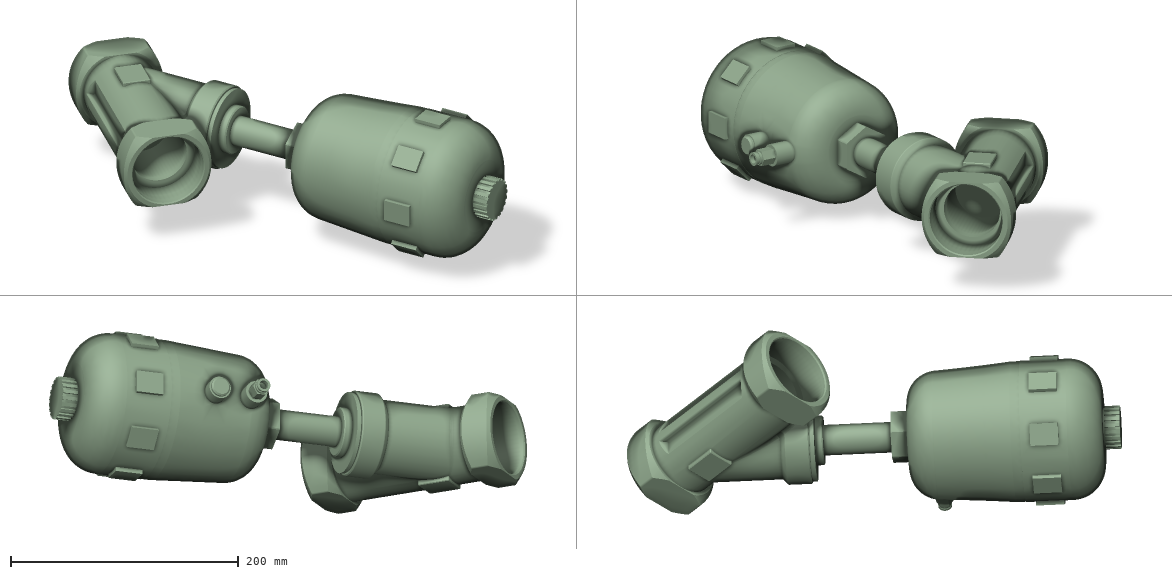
import cadquery as cq
import math

PIPE_LENGTH = 185.0
BARREL_D = 68.0
THREAD_D = 65.0
THREAD_CHAMFER = 1.0
BORE_D = 50.0
DIVIDER_THICKNESS = 13.5

NUT_LENGTH = 29.5
NUT_FLAT_HALF_HEIGHT = 34.5
NUT_FLAT_HALF_WIDTH = 28.0
NUT_SIDE_REACH = 40.0
NUT_EDGE_FILLET = 2.5
NUT_FACE_D = 75.0

PLATE_X = 67.5
PLATE_LENGTH = 30.3
PLATE_WIDTH = 25.0
PLATE_TOP = 36.0
PLATE_CHAMFER = 0.7

POCKET_FLOOR = 27.2
POCKET_MOUTH_LENGTH = 109.5
POCKET_FLOOR_LENGTH = 98.2
RIB_WIDTH = 11.5
RIB_FILLET = 2.0
POCKET_MID_X = PIPE_LENGTH / 2

AXIS_X = 51.8
AXIS_ORIGIN = cq.Vector(AXIS_X, 0, 0)
ALONG = cq.Vector(1, 1, 0).normalized()
ACROSS = cq.Vector(1, -1, 0).normalized()

FLANGE_CONE_START = 73.5
FLANGE_START = 78.5
FLANGE_TOP = 99.5
COVER_TOP = 104.0
COLLAR_TOP = 111.0
ACTUATOR_BOTTOM = 185.3
SHELL_TOP = 278.0
JOINT = 286.5
DOME_START = 327.8

NECK_D = 65.5
FLANGE_D = 75.5
FLANGE_CHAMFER = 1.0
BRANCH_FILLET = 3.5
FLANGE_FILLET = 1.5

COVER_D = 72.0
COVER_CHAMFER = 1.0
COLLAR_D = 43.7
COLLAR_CHAMFER = 1.0
STEM_D = 27.0
HEX_HEIGHT = 14.5
HEX_FLATS = 41.5
HEX_CORNER_CHAMFER = 0.7

ACTUATOR_D = 124.5
BOTTOM_FACE_D = 60.0
BOTTOM_FILLET = 27.0
SHELL_HALF_ANGLE = 4.5
DOME_FILLET = 29.5
JOINT_STEP = 0.5

GRIP_COUNT = 8
GRIP_START = 295.2
GRIP_LENGTH = 25.0
GRIP_WIDTH = 19.5
GRIP_REACH = 65.2

CAP_ROOT_D = 35.0
CAP_TOOTH_D = 38.0
CAP_TEETH = 20
CAP_TOOTH_WIDTH = 3.0
CAP_GAP = 1.5
CAP_HEIGHT = 13.5

PORT_D = 20.0
PORT_REACH = 73.5
PORT_ROOT = 33.5
FITTING_STATION = 211.5
PLUG_STATION = 245.5
PLUG_D = 17.0
PLUG_HEIGHT = 3.5
PLUG_CHAMFER = 1.5
FITTING_HEX_FLATS = 13.5
FITTING_HEX_HEIGHT = 12.8
FITTING_SLEEVE_D = 12.0
FITTING_SLEEVE_HEIGHT = 2.5
FITTING_GROOVE_D = 10.5
FITTING_GROOVE_WIDTH = 2.0
FITTING_RIM_HEIGHT = 2.0
FITTING_HOLE_D = 8.0


def hex_diameter(across_flats):
    """Diameter of the circle through the corners of a hexagon."""
    return across_flats / math.cos(math.pi / 6)


def axis_plane(station):
    """Plane square to the inclined axis; its local x lies in XY, its local y along -Z."""
    return cq.Workplane(cq.Plane(AXIS_ORIGIN + ALONG * station, ACROSS, ALONG))


def axis_disc(start, end, diameter):
    return axis_plane(start).circle(diameter / 2).extrude(end - start)


def axis_profile():
    """Half-section sketch: local x is the radius, local y the station on the inclined axis."""
    return cq.Workplane(cq.Plane(AXIS_ORIGIN, ACROSS, cq.Vector(0, 0, 1)))


def spin(profile):
    return profile.close().revolve(360, (0, 0), (0, 1))


def pipe_disc(start, length, diameter):
    return cq.Workplane("YZ", origin=(start, 0, 0)).circle(diameter / 2).extrude(length)


def end_nut(start):
    """Two-flat nut with bulged sides and both ends chamfered at 45 degrees."""
    width, height = NUT_FLAT_HALF_WIDTH, NUT_FLAT_HALF_HEIGHT
    block = (
        cq.Workplane("YZ", origin=(start, 0, 0))
        .moveTo(-width, height)
        .lineTo(width, height)
        .threePointArc((NUT_SIDE_REACH, 0), (width, -height))
        .lineTo(-width, -height)
        .threePointArc((-NUT_SIDE_REACH, 0), (-width, height))
        .close()
        .extrude(NUT_LENGTH)
        .edges("|X")
        .fillet(NUT_EDGE_FILLET)
    )
    half = NUT_LENGTH / 2
    face_radius = NUT_FACE_D / 2
    chamfers = (
        cq.Workplane("XY")
        .moveTo(start, 0)
        .lineTo(start, face_radius)
        .lineTo(start + half, face_radius + half)
        .lineTo(start + NUT_LENGTH, face_radius)
        .lineTo(start + NUT_LENGTH, 0)
        .close()
        .revolve(360, (0, 0), (1, 0))
    )
    return block.intersect(chamfers)


def pipe_bore():
    """Left half of the bore: chamfered thread hole, then a narrower blind hole."""
    thread_radius = THREAD_D / 2
    bore_end = (PIPE_LENGTH - DIVIDER_THICKNESS) / 2
    return (
        cq.Workplane("XY")
        .lineTo(0, thread_radius + THREAD_CHAMFER)
        .lineTo(THREAD_CHAMFER, thread_radius)
        .lineTo(NUT_LENGTH, thread_radius)
        .lineTo(NUT_LENGTH, BORE_D / 2)
        .lineTo(bore_end, BORE_D / 2)
        .lineTo(bore_end, 0)
        .close()
        .revolve(360, (0, 0), (1, 0))
    )


def branch():
    """Inclined neck and its flange."""
    neck_radius = NECK_D / 2
    flange_radius = FLANGE_D / 2
    solid = spin(
        axis_profile()
        .lineTo(neck_radius, 0)
        .lineTo(neck_radius, FLANGE_CONE_START)
        .lineTo(flange_radius, FLANGE_START)
        .lineTo(flange_radius, FLANGE_TOP - FLANGE_CHAMFER)
        .lineTo(flange_radius - FLANGE_CHAMFER, FLANGE_TOP)
        .lineTo(0, FLANGE_TOP)
    )
    widest_edges = solid.edges(cq.selectors.RadiusNthSelector(-1))
    return widest_edges.edges("<(1,1,0)").fillet(FLANGE_FILLET)


def rounded_branch(barrel):
    """Joins neck and flange to the barrel and rounds the inner corner all around."""
    return barrel.union(branch()).edges("%BSPLINE").fillet(BRANCH_FILLET)


def side_pocket():
    """Recess on the -Y side above the middle rib: sloped ends and a rounded rib flank."""
    mouth = BARREL_D / 2
    flank = RIB_WIDTH / 2
    end_view = (
        cq.Workplane("YZ")
        .moveTo(-mouth, flank - RIB_FILLET)
        .radiusArc((-mouth + RIB_FILLET, flank), RIB_FILLET)
        .lineTo(-POCKET_FLOOR - RIB_FILLET, flank)
        .radiusArc((-POCKET_FLOOR, flank + RIB_FILLET), -RIB_FILLET)
        .lineTo(-POCKET_FLOOR, mouth)
        .lineTo(-mouth, mouth)
        .close()
        .extrude(PIPE_LENGTH)
    )
    plan_view = (
        cq.Workplane("XY")
        .moveTo(POCKET_MID_X - POCKET_MOUTH_LENGTH / 2, -mouth)
        .lineTo(POCKET_MID_X + POCKET_MOUTH_LENGTH / 2, -mouth)
        .lineTo(POCKET_MID_X + POCKET_FLOOR_LENGTH / 2, -POCKET_FLOOR)
        .lineTo(POCKET_MID_X - POCKET_FLOOR_LENGTH / 2, -POCKET_FLOOR)
        .close()
        .extrude(mouth)
    )
    return end_view.intersect(plan_view)


def name_plates():
    """One raised plate on the +Z side and one on the -Z side."""
    return (
        cq.Workplane("XY")
        .box(PLATE_LENGTH, PLATE_WIDTH, 2 * PLATE_TOP)
        .edges("|Z")
        .chamfer(PLATE_CHAMFER)
        .faces("|Z")
        .chamfer(PLATE_CHAMFER)
        .translate((PLATE_X, 0, 0))
    )


def make_valve_body():
    middle = (PIPE_LENGTH / 2, 0, 0)
    barrel = pipe_disc(0, PIPE_LENGTH, BARREL_D)
    pocket = side_pocket()
    bore = pipe_bore()
    return (
        rounded_branch(barrel)
        .cut(pocket)
        .cut(pocket.mirror("XY"))
        .union(name_plates())
        .union(end_nut(0))
        .union(end_nut(PIPE_LENGTH - NUT_LENGTH))
        .cut(bore)
        .cut(bore.mirror("YZ", middle))
    )


def make_bonnet():
    cover = axis_disc(FLANGE_TOP, COVER_TOP, COVER_D).faces("<(1,1,0)").chamfer(COVER_CHAMFER)
    collar = axis_disc(COVER_TOP, COLLAR_TOP, COLLAR_D).faces(">(1,1,0)").chamfer(COLLAR_CHAMFER)
    stem = axis_disc(COLLAR_TOP, ACTUATOR_BOTTOM, STEM_D)
    hexagon = (
        axis_plane(ACTUATOR_BOTTOM - HEX_HEIGHT)
        .transformed(rotate=(0, 0, 90))
        .polygon(6, hex_diameter(HEX_FLATS))
        .extrude(HEX_HEIGHT)
        .edges("|(1,1,0)")
        .chamfer(HEX_CORNER_CHAMFER)
    )
    return cover.union(collar).union(stem).union(hexagon)


def actuator_shell():
    """Round-bottomed tapered shell and the domed hood above the joint."""
    slope = math.radians(SHELL_HALF_ANGLE)
    diagonal = (math.pi / 2 - slope) / 2
    centre_radius = BOTTOM_FACE_D / 2
    centre_station = ACTUATOR_BOTTOM + BOTTOM_FILLET
    tangent_radius = centre_radius + BOTTOM_FILLET * math.cos(slope)
    tangent_station = centre_station - BOTTOM_FILLET * math.sin(slope)
    hood_radius = ACTUATOR_D / 2
    shell_radius = hood_radius - JOINT_STEP
    dome_radius = hood_radius - DOME_FILLET
    bow = DOME_FILLET * math.sqrt(0.5)
    return spin(
        axis_profile()
        .moveTo(0, ACTUATOR_BOTTOM)
        .lineTo(centre_radius, ACTUATOR_BOTTOM)
        .threePointArc(
            (
                centre_radius + BOTTOM_FILLET * math.sin(diagonal),
                centre_station - BOTTOM_FILLET * math.cos(diagonal),
            ),
            (tangent_radius, tangent_station),
        )
        .lineTo(shell_radius, SHELL_TOP)
        .lineTo(shell_radius, JOINT)
        .lineTo(hood_radius, JOINT)
        .lineTo(hood_radius, DOME_START)
        .threePointArc(
            (dome_radius + bow, DOME_START + bow),
            (dome_radius, DOME_START + DOME_FILLET),
        )
        .lineTo(0, DOME_START + DOME_FILLET)
    )


def grip_pad(index):
    return (
        axis_plane(GRIP_START)
        .transformed(rotate=(0, 0, index * 360 / GRIP_COUNT))
        .center(GRIP_REACH / 2, 0)
        .rect(GRIP_REACH, GRIP_WIDTH)
        .extrude(GRIP_LENGTH)
    )


def ribbed_cap():
    """Cap with straight ribs, held off the dome by a short foot."""
    dome_top = DOME_START + DOME_FILLET
    cap_start = dome_top + CAP_GAP
    cap = axis_disc(dome_top, cap_start + CAP_HEIGHT, CAP_ROOT_D)
    for index in range(CAP_TEETH):
        tooth = (
            axis_plane(cap_start)
            .transformed(rotate=(0, 0, index * 360 / CAP_TEETH))
            .center(CAP_TOOTH_D / 4, 0)
            .rect(CAP_TOOTH_D / 2, CAP_TOOTH_WIDTH)
            .extrude(CAP_HEIGHT)
        )
        cap = cap.union(tooth)
    return cap


def port_plane(station, reach):
    """Plane across a port, at a distance from the inclined axis on its upper left side."""
    origin = AXIS_ORIGIN + ALONG * station - ACROSS * reach
    return cq.Workplane(cq.Plane(origin, ALONG, -ACROSS))


def port_boss(station):
    return port_plane(station, PORT_ROOT).circle(PORT_D / 2).extrude(PORT_REACH - PORT_ROOT)


def port_plug():
    plug = port_plane(PLUG_STATION, PORT_REACH).circle(PLUG_D / 2).extrude(PLUG_HEIGHT)
    return plug.faces(">(-1,1,0)").chamfer(PLUG_CHAMFER)


def hose_fitting():
    """Hexagon with a grooved, open hose sleeve."""
    sleeve_start = PORT_REACH + FITTING_HEX_HEIGHT
    groove_start = sleeve_start + FITTING_SLEEVE_HEIGHT
    rim_start = groove_start + FITTING_GROOVE_WIDTH
    hexagon = (
        port_plane(FITTING_STATION, PORT_REACH)
        .polygon(6, hex_diameter(FITTING_HEX_FLATS))
        .extrude(FITTING_HEX_HEIGHT)
    )
    sleeve = (
        port_plane(FITTING_STATION, sleeve_start)
        .circle(FITTING_SLEEVE_D / 2)
        .extrude(FITTING_SLEEVE_HEIGHT)
    )
    groove = (
        port_plane(FITTING_STATION, groove_start)
        .circle(FITTING_GROOVE_D / 2)
        .extrude(FITTING_GROOVE_WIDTH)
    )
    rim = (
        port_plane(FITTING_STATION, rim_start)
        .circle(FITTING_SLEEVE_D / 2)
        .extrude(FITTING_RIM_HEIGHT)
    )
    hole = (
        port_plane(FITTING_STATION, sleeve_start)
        .circle(FITTING_HOLE_D / 2)
        .extrude(rim_start + FITTING_RIM_HEIGHT - sleeve_start)
    )
    return hexagon.union(sleeve).union(groove).union(rim).cut(hole)


def make_actuator():
    body = actuator_shell().union(ribbed_cap())
    for index in range(GRIP_COUNT):
        body = body.union(grip_pad(index))
    for station in (FITTING_STATION, PLUG_STATION):
        body = body.union(port_boss(station))
    return body.union(port_plug()).union(hose_fitting())


valve_body = make_valve_body()
bonnet = make_bonnet()
actuator = make_actuator()

result = cq.Compound.makeCompound([valve_body.val(), bonnet.val(), actuator.val()])